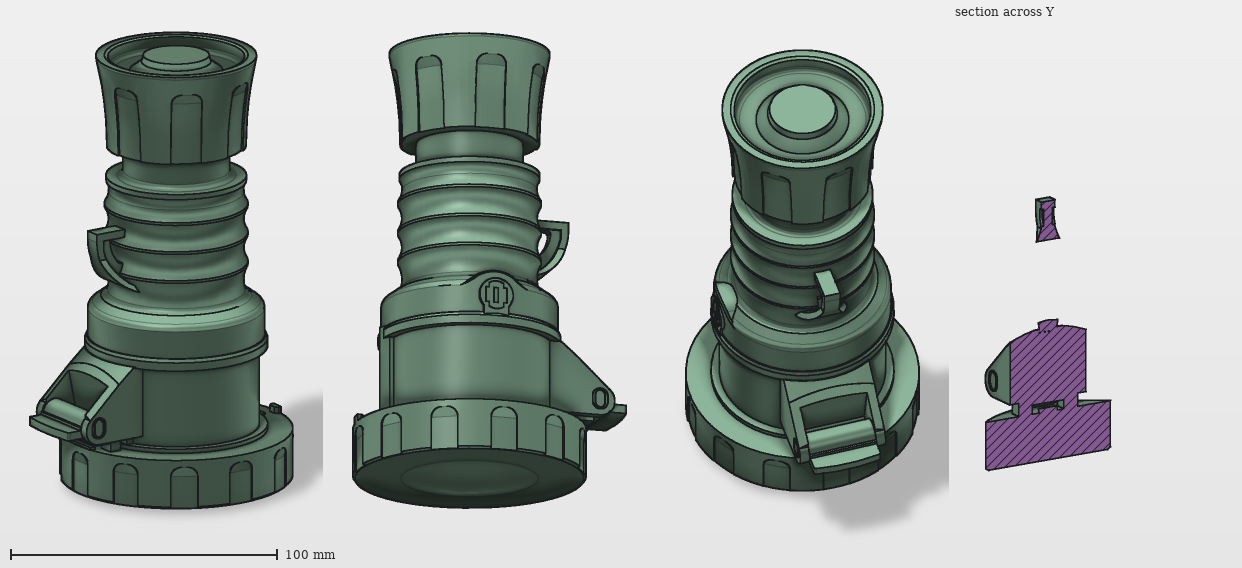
import cadquery as cq
import math

OVERALL_HEIGHT = 167.5

CAP_RADIUS = 87.5 / 2
CAP_BOTTOM = 2.7
CAP_TOP = 21.8
CAP_CHAMFER = 0.8
DOME_RADIUS = 25.8
CAP_FLUTES = 12
CAP_FLUTE_WIDTH = 10.2
CAP_FLUTE_TOP = 19.1
CAP_FLUTE_DEPTH = 0.7
CAP_FLUTE_RAMP_Z = 15.4
CAP_FLUTE_CORNER = 4.0

SEAT_RADIUS = 34.3
SEAT_TOP = 23.5
BARREL_RADIUS = 62.5 / 2
FLANGE_BOTTOM = 53.9
FLANGE_TOP = 58.5
FLANGE_CHAMFER = 0.7
SHOULDER_RADIUS = 66.5 / 2
SHOULDER_TOP = 69.0
SHOULDER_ROUND_MIDDLE = (32.6, 70.5)
SHOULDER_CONE_START = (31.5, 71.5)
SHOULDER_CONE_END = (28.3, 73.8)
SHOULDER_COVE_MIDDLE = (26.6, 74.8)

GRIP_BOTTOM = 76.0
GRIP_RADIUS = 26.0
WAIST_RADIUS = 25.5
RIB_RADIUS = 27.0
RIB_HEIGHT = 1.0
RIB_FIRST = 86.5
RIB_LAST = 109.2
RIB_COUNT = 3
RIB_PITCH = (RIB_LAST - RIB_FIRST) / (RIB_COUNT - 1)
UPPER_WAIST_Z = 114.3
UPPER_WAIST_BELOW = (26.0, 111.5)
UPPER_WAIST_ABOVE = (25.6, 117.0)
COLLAR_BOTTOM = 118.5
COLLAR_TOP = 120.5
COLLAR_RADIUS = 52.7 / 2
NECK_RADIUS = 20.1
NECK_FILLET = 2.2

HEAD_BOTTOM = 132.3
HEAD_RADIUS = 26.3
HEAD_RIM_RADIUS = 30.1
RIM_EDGE_HEIGHT = 1.0
HEAD_FLUTES = 7
HEAD_FLUTE_WIDTH = 11.5
HEAD_FLUTE_TOP = 160.0
HEAD_FLUTE_DEPTH = 0.75
HEAD_FLUTE_RAMP_Z = 156.4
HEAD_FLUTE_CORNER = 3.7
RECESS_MOUTH_RADIUS = 27.0
RECESS_WALL_RADIUS = 25.6
RECESS_WALL_BOTTOM = 163.4
RECESS_FLOOR = 161.5
RECESS_FLOOR_RADIUS = 23.8
KNOB_BASE_RADIUS = 17.4
KNOB_EDGE_RADIUS = 13.0
KNOB_EDGE_Z = 164.9
KNOB_TOP_RADIUS = 12.4
MOUTH_CHAMFER = 0.5

HOOK_TOP = 104.1
HOOK_BOTTOM = 81.0
HOOK_REACH = 38.0
HOOK_WIDTH = 6.2
HOOK_BAR = 3.0
HOOK_FOOT_WIDTH = 20.1
HOOK_BAR_BOTTOM = HOOK_TOP - HOOK_BAR
HOOK_WEB = 4.0
HOOK_SKIN = 2.0
SKIN_BEND_Z = 97.8
HOOK_OPENING_REACH = 31.3
HOOK_OPENING_CORNER = 1.3
HOOK_OPENING_BOTTOM = 90.7
HOOK_FLARE_Z = 93.8
HOOK_ROOT = 24.0
OPENING_CURVE_MIDDLE = (-30.0, 94.8)
OPENING_CURVE_END_Y = -26.6
SKIN_CURVE_MIDDLE = (-31.5, 89.7)
FLARE_MIDDLE_HALF_WIDTH = 5.5
FLARE_MIDDLE_Z = 87.9

BUMP_HALF_WIDTH = 16.0
BUMP_TOP = 75.0
BUMP_FLANK_Y = 7.4
BUMP_FLANK_Z = 73.0
BUMP_COVE_Y = 11.0
BUMP_COVE_Z = 70.5
BUMP_CHAMFER = 0.7
DIAL_Z = 65.3
DIAL_RADIUS = 6.5
DIAL_FACE = 33.8
DIAL_INSET_RADIUS = 5.4
DIAL_INSET_WIDTH = 8.2
DIAL_LOBE_WIDTH = 5.7
DIAL_INSET_DEPTH = 0.3
DIAL_STEM_WIDTH = 9.7
DIAL_SLOT_WIDTH = 1.7
DIAL_SLOT_LENGTH = 5.7
DIAL_SLOT_DEPTH = 1.0

LATCH_WIDTH = 33.5
LATCH_BOTTOM = 26.8
LATCH_TOP = 54.4
LATCH_SLOPE = math.radians(43)
LATCH_BREAK_Y = 37.2
PIN_Y = 46.2
LATCH_NOSE_RADIUS = 5.7
PIN_Z = LATCH_BOTTOM + LATCH_NOSE_RADIUS
WINDOW_WIDTH = 26.1
WINDOW_LINTEL_Y = 40.3
WINDOW_LINTEL_Z = 50.2
WINDOW_BACK_Y = 36.3
WINDOW_BACK_Z = 31.0
WINDOW_FLOOR_Y = 41.5
LEVER_RADIUS = 5.2
LEVER_END_Y = 58.8
LEVER_END_BOW = 1.2
LEVER_CORNER = 0.8
LEVER_BOTTOM = 29.1
LEVER_THICKNESS = 3.2
LEVER_STEP_Y = 52.2
LEVER_STEP_TOP = 33.5
PIN_SLOT_WIDTH = 6.0
PIN_SLOT_HEIGHT = 8.0
PIN_HEAD_WIDTH = 3.7
PIN_HEAD_HEIGHT = 6.7
PIN_SLOT_DEPTH = 0.7
PIN_SLOT_RAISE = 0.7

POST_WIDTH = 6.2
POST_NEAR_Y = 34.0
POST_FAR_Y = 38.5
PAWL_FAR_Y = 44.7
PAWL_TIP_Y = 43.2
PAWL_BOTTOM = 23.6
LOCK_PLATE_BOTTOM = 25.1
STOP_Y = 31.3
LUG_NEAR_Y = 41.2
LUG_FAR_Y = 43.5
CATCH_HEIGHT = 1.0

RIDGE_APEX_Y = 35.3
RIDGE_EAVE_Y = 32.6
RIDGE_WIDTH = 8.0
BACK_LUG_X = 3.3
BACK_LUG_WIDTH = 5.4
BACK_LUG_HEIGHT = 2.5
BACK_LUG_TOP_WIDTH = 3.0
BACK_KEY_X = 2.0
BACK_KEY_WIDTH = 4.0
BACK_KEY_END_Y = 37.7
BACK_KEY_HEIGHT = 0.5


def block(x0, x1, y0, y1, z0, z1):
    """Axis-aligned box between two corners."""
    return cq.Workplane("XY").box(x1 - x0, y1 - y0, z1 - z0, centered=False).translate((x0, y0, z0))


def side_plate(profile_yz, width):
    """Close an outline on the YZ plane and extrude it symmetrically about X = 0."""
    return profile_yz.close().extrude(width / 2, both=True)


def flute_cutter(core, width, bottom, top, corner, count, start_angle):
    """Round-topped grooves spaced around Z, with their floors on the core solid."""
    reach = 2 * CAP_RADIUS
    panel = (
        cq.Workplane("YZ")
        .center(0, (bottom + top) / 2)
        .rect(width, top - bottom)
        .extrude(reach)
        .edges("|X and >Z")
        .fillet(corner)
    )
    cutter = cq.Workplane("XY")
    for i in range(count):
        cutter = cutter.add(panel.rotate((0, 0, 0), (0, 0, 1), start_angle + i * 360 / count))
    return cutter.combine().cut(core)


def ramp(radius_low, radius_high, bottom, top):
    """Solid cone frustum about Z that closes off the upper ends of flutes."""
    return (
        cq.Workplane("XY", origin=(0, 0, bottom))
        .circle(radius_low)
        .workplane(offset=top - bottom)
        .circle(radius_high)
        .loft(ruled=True)
    )


def make_cap():
    """Fluted cap with a shallow dome underneath."""
    plate = cq.Workplane("XY").workplane(offset=CAP_BOTTOM).circle(CAP_RADIUS).extrude(CAP_TOP - CAP_BOTTOM)
    plate = plate.faces("<Z").chamfer(CAP_CHAMFER)
    floor_radius = CAP_RADIUS - CAP_FLUTE_DEPTH
    core = cq.Workplane("XY").circle(floor_radius).extrude(CAP_TOP)
    core = core.union(ramp(floor_radius, CAP_RADIUS, CAP_FLUTE_RAMP_Z, CAP_FLUTE_TOP))
    flutes = flute_cutter(
        core, CAP_FLUTE_WIDTH, 0, CAP_FLUTE_TOP, CAP_FLUTE_CORNER, CAP_FLUTES, 0
    )
    sphere_radius = (DOME_RADIUS**2 + CAP_BOTTOM**2) / (2 * CAP_BOTTOM)
    half_angle = math.asin(DOME_RADIUS / sphere_radius) / 2
    dome = (
        cq.Workplane("XZ")
        .moveTo(0, 0)
        .threePointArc(
            (sphere_radius * math.sin(half_angle), sphere_radius * (1 - math.cos(half_angle))),
            (DOME_RADIUS, CAP_BOTTOM),
        )
        .lineTo(0, CAP_BOTTOM)
        .close()
        .revolve(360, (0, 0, 0), (0, 1, 0))
    )
    return plate.cut(flutes).union(dome)


def make_barrel():
    """Turned body from the cap seat up to the neck."""
    profile = (
        cq.Workplane("XZ")
        .moveTo(0, CAP_TOP)
        .lineTo(SEAT_RADIUS, CAP_TOP)
        .lineTo(SEAT_RADIUS, SEAT_TOP)
        .lineTo(BARREL_RADIUS, SEAT_TOP)
        .lineTo(BARREL_RADIUS, FLANGE_BOTTOM)
        .lineTo(SEAT_RADIUS, FLANGE_BOTTOM)
        .lineTo(SEAT_RADIUS, FLANGE_TOP - 2 * FLANGE_CHAMFER)
        .lineTo(SEAT_RADIUS - FLANGE_CHAMFER, FLANGE_TOP)
        .lineTo(SHOULDER_RADIUS, FLANGE_TOP)
        .lineTo(SHOULDER_RADIUS, SHOULDER_TOP)
        .threePointArc(SHOULDER_ROUND_MIDDLE, SHOULDER_CONE_START)
        .lineTo(*SHOULDER_CONE_END)
        .threePointArc(SHOULDER_COVE_MIDDLE, (GRIP_RADIUS, GRIP_BOTTOM))
    )
    below = GRIP_BOTTOM
    for i in range(RIB_COUNT):
        rib_low = RIB_FIRST + i * RIB_PITCH - RIB_HEIGHT / 2
        profile = profile.threePointArc((WAIST_RADIUS, (below + rib_low) / 2), (RIB_RADIUS, rib_low))
        below = rib_low + RIB_HEIGHT
        profile = profile.lineTo(RIB_RADIUS, below)
    profile = (
        profile.threePointArc(UPPER_WAIST_BELOW, (WAIST_RADIUS, UPPER_WAIST_Z))
        .threePointArc(UPPER_WAIST_ABOVE, (COLLAR_RADIUS, COLLAR_BOTTOM))
        .lineTo(COLLAR_RADIUS, COLLAR_TOP)
        .lineTo(NECK_RADIUS + NECK_FILLET, COLLAR_TOP)
        .radiusArc((NECK_RADIUS, COLLAR_TOP + NECK_FILLET), NECK_FILLET)
        .lineTo(NECK_RADIUS, HEAD_BOTTOM)
        .lineTo(0, HEAD_BOTTOM)
        .close()
    )
    return profile.revolve(360, (0, 0, 0), (0, 1, 0))


def head_radius(z):
    """Outer radius of the flared wall of the head, an arc that starts upright."""
    rise = OVERALL_HEIGHT - RIM_EDGE_HEIGHT - HEAD_BOTTOM
    spread = HEAD_RIM_RADIUS - HEAD_RADIUS
    flare_radius = (rise**2 + spread**2) / (2 * spread)
    return HEAD_RADIUS + flare_radius - math.sqrt(flare_radius**2 - (z - HEAD_BOTTOM) ** 2)


def bell(inset):
    """Solid flared head, its outer wall moved inward by the given inset."""
    edge_z = OVERALL_HEIGHT - RIM_EDGE_HEIGHT
    middle_z = (HEAD_BOTTOM + edge_z) / 2
    return (
        cq.Workplane("XZ")
        .moveTo(0, HEAD_BOTTOM)
        .lineTo(HEAD_RADIUS - inset, HEAD_BOTTOM)
        .threePointArc((head_radius(middle_z) - inset, middle_z), (HEAD_RIM_RADIUS - inset, edge_z))
        .lineTo(HEAD_RIM_RADIUS - inset, OVERALL_HEIGHT)
        .lineTo(0, OVERALL_HEIGHT)
        .close()
        .revolve(360, (0, 0, 0), (0, 1, 0))
    )


def make_head():
    """Fluted bell with a ring-shaped recess around a central knob."""
    recess = (
        cq.Workplane("XZ")
        .moveTo(KNOB_TOP_RADIUS, OVERALL_HEIGHT)
        .lineTo(KNOB_EDGE_RADIUS, KNOB_EDGE_Z)
        .lineTo(KNOB_BASE_RADIUS, RECESS_FLOOR)
        .lineTo(RECESS_FLOOR_RADIUS, RECESS_FLOOR)
        .radiusArc((RECESS_WALL_RADIUS, RECESS_WALL_BOTTOM), -(RECESS_WALL_RADIUS - RECESS_FLOOR_RADIUS))
        .lineTo(RECESS_WALL_RADIUS, OVERALL_HEIGHT - MOUTH_CHAMFER)
        .lineTo(RECESS_MOUTH_RADIUS, OVERALL_HEIGHT)
        .close()
        .revolve(360, (0, 0, 0), (0, 1, 0))
    )
    core = bell(HEAD_FLUTE_DEPTH)
    core = core.union(
        ramp(
            head_radius(HEAD_FLUTE_RAMP_Z) - HEAD_FLUTE_DEPTH,
            head_radius(HEAD_FLUTE_TOP),
            HEAD_FLUTE_RAMP_Z,
            HEAD_FLUTE_TOP,
        )
    )
    flutes = flute_cutter(
        core,
        HEAD_FLUTE_WIDTH,
        HEAD_BOTTOM,
        HEAD_FLUTE_TOP,
        HEAD_FLUTE_CORNER,
        HEAD_FLUTES,
        180,
    )
    return bell(0).cut(recess).cut(flutes)


def make_trigger_hook():
    """Curved hook on the grip: a narrow web with a skin that flares to a wide foot."""
    outer = (
        cq.Workplane("YZ")
        .moveTo(-NECK_RADIUS, HOOK_TOP)
        .lineTo(-HOOK_REACH, HOOK_TOP)
        .lineTo(-HOOK_REACH, HOOK_BAR_BOTTOM)
        .tangentArcPoint((-HOOK_ROOT, HOOK_BOTTOM), relative=False)
        .lineTo(-NECK_RADIUS, HOOK_BOTTOM)
    )
    hook = side_plate(outer, HOOK_FOOT_WIDTH)
    opening = (
        cq.Workplane("YZ")
        .moveTo(-NECK_RADIUS, HOOK_BAR_BOTTOM)
        .lineTo(HOOK_OPENING_CORNER - HOOK_OPENING_REACH, HOOK_BAR_BOTTOM)
        .lineTo(-HOOK_OPENING_REACH, HOOK_BAR_BOTTOM - HOOK_OPENING_CORNER)
        .threePointArc(OPENING_CURVE_MIDDLE, (OPENING_CURVE_END_Y, HOOK_OPENING_BOTTOM))
        .lineTo(-NECK_RADIUS, HOOK_OPENING_BOTTOM)
    )
    web = hook.intersect(
        block(-HOOK_WEB / 2, HOOK_WEB / 2, -HOOK_REACH, 0, HOOK_BOTTOM, HOOK_TOP)
    ).cut(side_plate(opening, HOOK_FOOT_WIDTH))
    bar = block(
        -HOOK_WIDTH / 2, HOOK_WIDTH / 2, -HOOK_REACH, -NECK_RADIUS, HOOK_BAR_BOTTOM, HOOK_TOP
    )

    inside_skin = (
        cq.Workplane("YZ")
        .moveTo(-NECK_RADIUS, HOOK_TOP)
        .lineTo(HOOK_BAR - HOOK_REACH, HOOK_TOP)
        .lineTo(HOOK_BAR - HOOK_REACH, SKIN_BEND_Z)
        .threePointArc(SKIN_CURVE_MIDDLE, (-HOOK_ROOT, HOOK_BOTTOM + HOOK_SKIN))
        .lineTo(-NECK_RADIUS, HOOK_BOTTOM + HOOK_SKIN)
    )
    foot = HOOK_FOOT_WIDTH / 2
    flare = (
        cq.Workplane("XZ")
        .moveTo(-HOOK_WIDTH / 2, HOOK_TOP)
        .lineTo(-HOOK_WIDTH / 2, HOOK_FLARE_Z)
        .threePointArc((-FLARE_MIDDLE_HALF_WIDTH, FLARE_MIDDLE_Z), (-foot, HOOK_BOTTOM))
        .lineTo(foot, HOOK_BOTTOM)
        .threePointArc((FLARE_MIDDLE_HALF_WIDTH, FLARE_MIDDLE_Z), (HOOK_WIDTH / 2, HOOK_FLARE_Z))
        .lineTo(HOOK_WIDTH / 2, HOOK_TOP)
        .close()
        .extrude(HOOK_REACH)
    )
    skin = hook.cut(side_plate(inside_skin, HOOK_FOOT_WIDTH)).intersect(flare)
    return web.union(bar).union(skin)


def make_dial():
    """Raised bell-curve wall on the -X side of the shoulder and the slotted dial on it."""
    bump = (
        cq.Workplane("YZ")
        .moveTo(-BUMP_HALF_WIDTH, FLANGE_TOP)
        .lineTo(-BUMP_HALF_WIDTH, SHOULDER_TOP)
        .threePointArc((-BUMP_COVE_Y, BUMP_COVE_Z), (-BUMP_FLANK_Y, BUMP_FLANK_Z))
        .threePointArc((0, BUMP_TOP), (BUMP_FLANK_Y, BUMP_FLANK_Z))
        .threePointArc((BUMP_COVE_Y, BUMP_COVE_Z), (BUMP_HALF_WIDTH, SHOULDER_TOP))
        .lineTo(BUMP_HALF_WIDTH, FLANGE_TOP)
        .close()
        .extrude(-DIAL_FACE)
    )
    bump = bump.intersect(cq.Workplane("XY").circle(SHOULDER_RADIUS).extrude(OVERALL_HEIGHT))
    bump = bump.faces("<X").edges("not <Z").chamfer(BUMP_CHAMFER)

    dial = cq.Workplane("YZ").center(0, DIAL_Z).circle(DIAL_RADIUS).extrude(-DIAL_FACE)
    stem = block(
        -DIAL_FACE, 0, -DIAL_STEM_WIDTH / 2, DIAL_STEM_WIDTH / 2, FLANGE_TOP - 2 * FLANGE_CHAMFER, DIAL_Z
    )
    face = cq.Workplane("YZ", origin=(-DIAL_FACE, 0, DIAL_Z))
    inset = face.circle(DIAL_INSET_RADIUS).extrude(DIAL_INSET_DEPTH)
    inset = inset.intersect(
        face.rect(DIAL_LOBE_WIDTH, 2 * DIAL_INSET_RADIUS).extrude(DIAL_INSET_DEPTH)
    )
    inset = inset.union(face.rect(DIAL_INSET_WIDTH, DIAL_LOBE_WIDTH).extrude(DIAL_INSET_DEPTH))
    slot = face.rect(DIAL_SLOT_WIDTH, DIAL_SLOT_LENGTH).extrude(DIAL_SLOT_DEPTH)
    return bump.union(dial).union(stem).cut(inset).cut(slot)


def make_latch_housing():
    """Sloping housing on the -Y side with an arched top and an open window."""
    half = LATCH_WIDTH / 2
    slope = math.tan(LATCH_SLOPE)
    tangent_y = PIN_Y + LATCH_NOSE_RADIUS * math.sin(LATCH_SLOPE)
    tangent_z = PIN_Z + LATCH_NOSE_RADIUS * math.cos(LATCH_SLOPE)
    break_z = tangent_z + (tangent_y - LATCH_BREAK_Y) * slope

    cheek = (
        cq.Workplane("YZ")
        .moveTo(0, LATCH_BOTTOM)
        .lineTo(-PIN_Y, LATCH_BOTTOM)
        .threePointArc((-PIN_Y - LATCH_NOSE_RADIUS, PIN_Z), (-tangent_y, tangent_z))
        .lineTo(-LATCH_BREAK_Y, break_z)
        .lineTo(-LATCH_BREAK_Y, LATCH_TOP)
        .lineTo(0, LATCH_TOP)
    )
    corner_radius = math.hypot(half, LATCH_BREAK_Y)
    cone_foot = corner_radius + (break_z - LATCH_BOTTOM) / slope
    cone_top = corner_radius - (LATCH_TOP - break_z) / slope
    cone = (
        cq.Workplane("XZ")
        .moveTo(0, LATCH_BOTTOM)
        .lineTo(cone_foot, LATCH_BOTTOM)
        .lineTo(cone_top, LATCH_TOP)
        .lineTo(0, LATCH_TOP)
        .close()
        .revolve(360, (0, 0, 0), (0, 1, 0))
    )
    housing = side_plate(cheek, LATCH_WIDTH).intersect(cone)

    arch_top = break_z + (corner_radius - LATCH_BREAK_Y) * slope
    run = tangent_y - LATCH_BREAK_Y
    arch = (
        cq.Workplane("XZ", origin=(0, -LATCH_BREAK_Y, 0))
        .moveTo(-half, break_z)
        .threePointArc((0, arch_top), (half, break_z))
        .close()
    )
    path = cq.Workplane("YZ").moveTo(-LATCH_BREAK_Y, break_z).lineTo(-tangent_y, break_z - run * slope)
    housing = housing.union(arch.sweep(path))

    window = (
        cq.Workplane("YZ")
        .moveTo(-LEVER_END_Y, FLANGE_BOTTOM)
        .lineTo(-WINDOW_LINTEL_Y, FLANGE_BOTTOM)
        .lineTo(-WINDOW_LINTEL_Y, WINDOW_LINTEL_Z)
        .lineTo(-WINDOW_BACK_Y, WINDOW_BACK_Z)
        .lineTo(-WINDOW_FLOOR_Y, LEVER_BOTTOM)
        .lineTo(-WINDOW_FLOOR_Y, LATCH_BOTTOM)
        .lineTo(-LEVER_END_Y, LATCH_BOTTOM)
    )
    return housing.cut(side_plate(window, WINDOW_WIDTH))


def make_lever():
    """Round hub between the cheeks with a flat, bowed thumb tongue."""
    half = WINDOW_WIDTH / 2
    hub = cq.Workplane("YZ").center(-PIN_Y, PIN_Z).circle(LEVER_RADIUS).extrude(half, both=True)
    tongue = (
        cq.Workplane("XY", origin=(0, 0, LEVER_BOTTOM))
        .moveTo(-half, -PIN_Y)
        .lineTo(-half, LEVER_END_BOW - LEVER_END_Y)
        .threePointArc((0, -LEVER_END_Y), (half, LEVER_END_BOW - LEVER_END_Y))
        .lineTo(half, -PIN_Y)
        .close()
        .extrude(LEVER_THICKNESS)
        .edges("|Z and (not >Y)")
        .fillet(LEVER_CORNER)
    )
    step = block(-half, half, -LEVER_STEP_Y, -PIN_Y, LEVER_BOTTOM, LEVER_STEP_TOP)
    return hub.union(step).union(tongue)


def make_pin_slots():
    """Shallow upright slots around the pin heads on both cheeks."""
    cutter = cq.Workplane("XY")
    centre_z = PIN_Z + PIN_SLOT_RAISE
    for side in (-1, 1):
        face = cq.Workplane("YZ", origin=(side * LATCH_WIDTH / 2, -PIN_Y, centre_z))
        depth = -side * PIN_SLOT_DEPTH
        ring = face.slot2D(PIN_SLOT_HEIGHT, PIN_SLOT_WIDTH, 90).extrude(depth)
        head = face.slot2D(PIN_HEAD_HEIGHT, PIN_HEAD_WIDTH, 90).extrude(depth)
        cutter = cutter.add(ring.cut(head))
    return cutter.combine()


def make_latch_feet():
    """Posts, lock plate, pawl and stop under the latch, and the lug they meet on the cap."""
    half = WINDOW_WIDTH / 2
    inner = half - POST_WIDTH
    feet = block(-half, half, -STOP_Y, 0, SEAT_TOP, LATCH_BOTTOM)
    for x0 in (-half, inner):
        feet = feet.union(block(x0, x0 + POST_WIDTH, -POST_FAR_Y, -POST_NEAR_Y, CAP_TOP, LATCH_BOTTOM))
    plate = block(-half, half, -PAWL_FAR_Y, -POST_NEAR_Y, LOCK_PLATE_BOTTOM, LEVER_BOTTOM)
    pawl = side_plate(
        cq.Workplane("YZ")
        .moveTo(-PAWL_FAR_Y, LOCK_PLATE_BOTTOM)
        .lineTo(-PAWL_TIP_Y, PAWL_BOTTOM)
        .lineTo(-POST_FAR_Y, PAWL_BOTTOM)
        .lineTo(-POST_FAR_Y, LATCH_BOTTOM)
        .lineTo(-PAWL_FAR_Y, LATCH_BOTTOM),
        2 * inner,
    )
    lug = block(-inner, inner, -LUG_FAR_Y, -LUG_NEAR_Y, CAP_TOP, CAP_TOP + CATCH_HEIGHT)
    return feet.union(plate).union(pawl).union(lug)


def make_back_marks():
    """Gabled ridge up the back of the barrel, with a key and a lug on top of the cap."""
    half_width = RIDGE_WIDTH / 2
    ridge = (
        cq.Workplane("XY", origin=(0, 0, CAP_TOP))
        .moveTo(-half_width, 0)
        .lineTo(-half_width, RIDGE_EAVE_Y)
        .lineTo(0, RIDGE_APEX_Y)
        .lineTo(half_width, RIDGE_EAVE_Y)
        .lineTo(half_width, 0)
        .close()
        .extrude(FLANGE_TOP - CAP_TOP)
    )
    key_x = BACK_KEY_X - BACK_KEY_WIDTH / 2
    key = block(
        key_x, key_x + BACK_KEY_WIDTH, BARREL_RADIUS, BACK_KEY_END_Y, CAP_TOP, CAP_TOP + BACK_KEY_HEIGHT
    )
    lug_x = BACK_LUG_X - BACK_LUG_WIDTH / 2
    lug = block(
        lug_x, lug_x + BACK_LUG_WIDTH, LUG_NEAR_Y, CAP_RADIUS, CAP_TOP, CAP_TOP + BACK_LUG_HEIGHT
    )
    lug = lug.edges("|Z and <Y").chamfer((BACK_LUG_WIDTH - BACK_LUG_TOP_WIDTH) / 2)
    lug = lug.intersect(cq.Workplane("XY").circle(CAP_RADIUS).extrude(OVERALL_HEIGHT))
    return ridge.union(key).union(lug)


result = (
    make_cap()
    .union(make_barrel())
    .union(make_head())
    .union(make_trigger_hook())
    .union(make_dial())
    .union(make_latch_housing())
    .union(make_lever())
    .union(make_latch_feet())
    .union(make_back_marks())
    .cut(make_pin_slots())
)